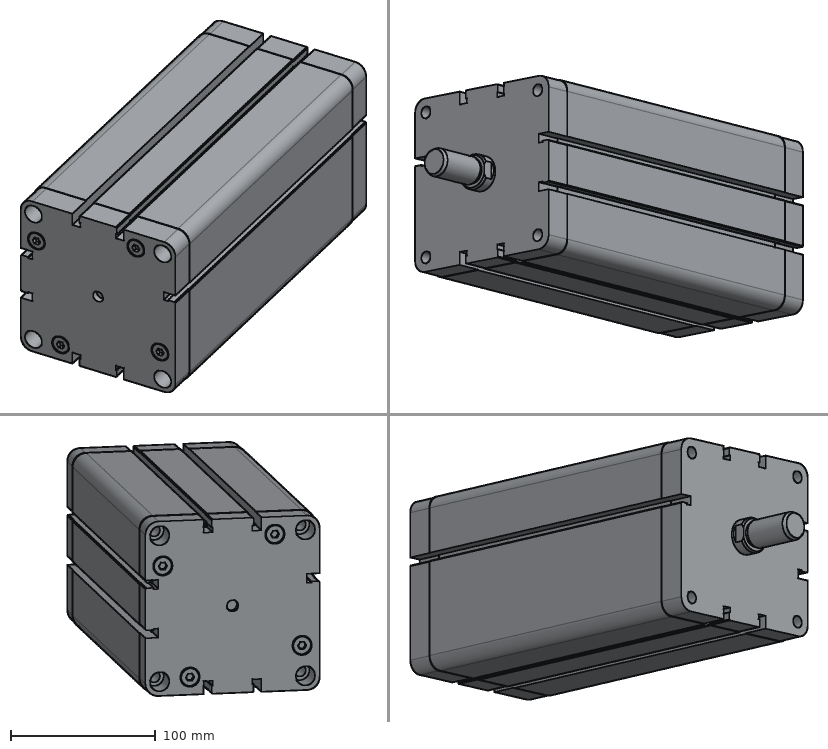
import cadquery as cq
import math


tube_width = 124.0
cap_width = 123.2
corner_radius = 9.5
cap_corner_radius = corner_radius - (tube_width - cap_width) / 2
cap_length = 19.25
body_length = 266.5
tube_length = body_length - 2 * cap_length

groove_outer = 20.4
groove_inner = 14.9
groove_chamfer = 0.7
undercut_inner = 14.0
undercut_floor_gap = 3.4
tube_groove_depth = 9.0
cap_groove_depth = 9.2

mount_offset = 51.5
mount_hole_diameter = 8.38
mount_bore_diameter = 13.5
mount_bore_depth = cap_length

screw_far = 49.2
screw_near = 30.0
screw_pocket_diameter = 13.5
screw_head_diameter = 12.5
screw_gap_depth = 1.0
socket_across_flats = 5.0
socket_depth = 3.0

centre_hole_diameter = 8.0
centre_hole_depth = 5.0

rod_diameter = 25.0
rod_length = 10.0
rod_chamfer = 1.0
rod_chamfer_length = rod_chamfer * math.sqrt(3)
flat_width = 22.0
flat_start = 2.6
flat_runout_angle = 30.0
neck_diameter = 17.5
neck_length = 3.0
thread_diameter = 20.0
thread_end = 50.0
tip_length = 2.8


def front_plane(y):
    """Sketch plane at the given Y with local axes along X and Z; a negative extrusion runs along +Y."""
    return cq.Workplane("XZ", origin=(0, y, 0))


def groove(side, angle, face, depth, start, length):
    """Groove in the top face at X of the given sign, turned about the Y axis."""
    floor = face - depth
    undercut_top = floor + undercut_floor_gap
    outline = [
        (side * groove_outer, face),
        (side * groove_outer, floor),
        (side * undercut_inner, floor),
        (side * undercut_inner, undercut_top),
        (side * groove_inner, undercut_top),
        (side * groove_inner, face - groove_chamfer),
        (side * (groove_inner - groove_chamfer), face),
    ]
    cutter = front_plane(start).polyline(outline).close().extrude(-length)
    return cutter.rotate((0, 0, 0), (0, 1, 0), angle)


def grooved_bar(width, radius, groove_depth, start, length):
    """Square bar with rounded long edges and grooves; the +X face has only its upper groove."""
    bar = front_plane(start).rect(width, width).extrude(-length).edges("|Y").fillet(radius)
    top, plus_x, bottom, minus_x = 0, 90, 180, 270
    grooves = [
        (-1, top),
        (1, top),
        (-1, plus_x),
        (-1, bottom),
        (1, bottom),
        (-1, minus_x),
        (1, minus_x),
    ]
    for side, angle in grooves:
        bar = bar.cut(groove(side, angle, width / 2, groove_depth, start, length))
    return bar


def cut_mounting_holes(body):
    corners = front_plane(0).rect(2 * mount_offset, 2 * mount_offset, forConstruction=True).vertices()
    holes = corners.circle(mount_hole_diameter / 2).extrude(-body_length)
    bores = corners.circle(mount_bore_diameter / 2).extrude(-mount_bore_depth)
    return body.cut(holes).cut(bores)


def cut_cap_screws(body):
    """Ring gap round each screw head and its hexagon socket."""
    places = [
        (-screw_far, screw_near),
        (screw_near, screw_far),
        (screw_far, -screw_near),
        (-screw_near, -screw_far),
    ]
    screws = front_plane(0).pushPoints(places)
    gaps = screws.circle(screw_pocket_diameter / 2).circle(screw_head_diameter / 2).extrude(-screw_gap_depth)
    across_corners = socket_across_flats / math.cos(math.pi / 6)
    sockets = screws.polygon(6, across_corners).extrude(-socket_depth)
    return body.cut(gaps).cut(sockets)


def cut_centre_hole(body):
    return body.cut(front_plane(0).circle(centre_hole_diameter / 2).extrude(-centre_hole_depth))


def piston_rod():
    """Turned rod; the two wrench flats face -X and +X and end in sloped run-outs."""
    shoulder = rod_length
    thread_start = rod_length + neck_length
    profile = [
        (0, 0),
        (rod_diameter / 2, 0),
        (rod_diameter / 2, shoulder - rod_chamfer_length),
        (rod_diameter / 2 - rod_chamfer, shoulder),
        (neck_diameter / 2, shoulder),
        (neck_diameter / 2, thread_start),
        (thread_diameter / 2, thread_start),
        (thread_diameter / 2, thread_end - tip_length),
        (neck_diameter / 2, thread_end),
        (0, thread_end),
    ]
    rod = cq.Workplane("XY").polyline(profile).close().revolve(360, (0, 0, 0), (0, 1, 0))
    runout_length = (rod_diameter - flat_width) / 2 * math.tan(math.radians(flat_runout_angle))
    for side in (-1, 1):
        flat_outline = [
            (side * flat_width / 2, rod_length),
            (side * flat_width / 2, flat_start),
            (side * rod_diameter / 2, flat_start - runout_length),
            (side * rod_diameter / 2, rod_length),
        ]
        flat_cutter = cq.Workplane("XY").polyline(flat_outline).close().extrude(rod_diameter / 2, both=True)
        rod = rod.cut(flat_cutter)
    return rod.translate((0, body_length, 0))


body = grooved_bar(tube_width, corner_radius, tube_groove_depth, cap_length, tube_length)
for cap_start in (0, body_length - cap_length):
    body = body.union(grooved_bar(cap_width, cap_corner_radius, cap_groove_depth, cap_start, cap_length))
body = cut_mounting_holes(body)
body = cut_cap_screws(body)
body = cut_centre_hole(body)

result = body.union(piston_rod())